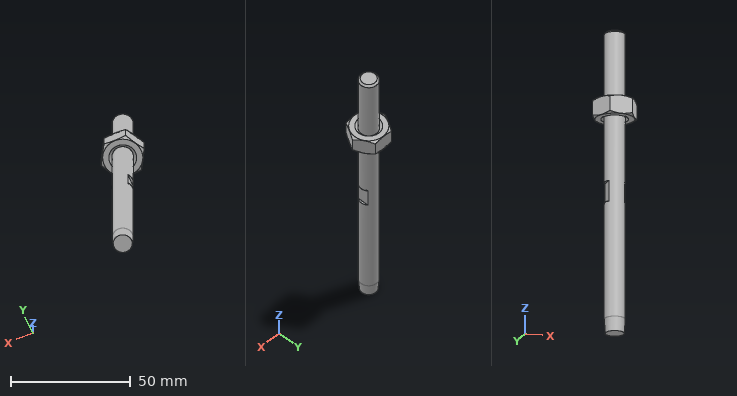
import cadquery as cq
import math

rod_length = 132.0
rod_diameter = 9.0
top_chamfer = 0.9
tip_length = 6.2
tip_diameter = 8.0

flats_width = 7.0
flats_bottom = 57.0
flats_top = 66.0

nut_across_flats = 17.0
nut_height = 8.0
nut_bottom = 94.0
nut_face_diameter = 16.8
nut_chamfer_angle = 30.0
nut_countersink_diameter = 11.6

rod_radius = rod_diameter / 2
nut_across_corners = nut_across_flats / math.cos(math.radians(30))


def make_rod():
    """Round rod with a tapered lower tip, a chamfered top and two wrench flats."""
    top_radius = rod_radius - top_chamfer
    rod = (
        cq.Workplane("XZ")
        .lineTo(tip_diameter / 2, 0)
        .lineTo(rod_radius, tip_length)
        .lineTo(rod_radius, rod_length - top_chamfer)
        .lineTo(top_radius, rod_length)
        .lineTo(0, rod_length)
        .close()
        .revolve(360, (0, 0, 0), (0, 1, 0))
    )
    flats_height = flats_top - flats_bottom
    for side in (-1, 1):
        cutter = cq.Workplane("XY").box(
            rod_radius, rod_diameter, flats_height, centered=(True, True, False)
        )
        cutter_x = side * (flats_width + rod_radius) / 2
        rod = rod.cut(cutter.translate((cutter_x, 0, flats_bottom)))
    return rod


def make_nut():
    """Hexagon nut with corners along X, chamfered corners and a countersunk bore."""
    nut = cq.Workplane("XY").polygon(6, nut_across_corners).extrude(nut_height)

    face_radius = nut_face_diameter / 2
    corner_radius = nut_across_corners / 2
    corner_drop = (corner_radius - face_radius) * math.tan(math.radians(nut_chamfer_angle))
    corner_trim = (
        cq.Workplane("XZ")
        .lineTo(face_radius, 0)
        .lineTo(corner_radius, corner_drop)
        .lineTo(corner_radius, nut_height - corner_drop)
        .lineTo(face_radius, nut_height)
        .lineTo(0, nut_height)
        .close()
        .revolve(360, (0, 0, 0), (0, 1, 0))
    )

    countersink_radius = nut_countersink_diameter / 2
    countersink_depth = countersink_radius - rod_radius
    bore = (
        cq.Workplane("XZ")
        .lineTo(countersink_radius, 0)
        .lineTo(rod_radius, countersink_depth)
        .lineTo(rod_radius, nut_height - countersink_depth)
        .lineTo(countersink_radius, nut_height)
        .lineTo(0, nut_height)
        .close()
        .revolve(360, (0, 0, 0), (0, 1, 0))
    )
    return nut.intersect(corner_trim).cut(bore).translate((0, 0, nut_bottom))


rod = make_rod()
nut = make_nut()
result = cq.Compound.makeCompound([rod.val(), nut.val()])